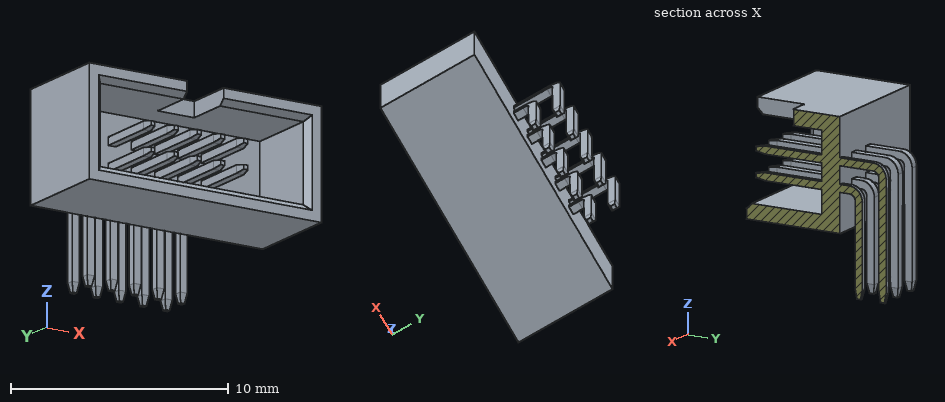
import cadquery as cq

shroud_length = 12.7
shroud_depth = 5.0
shroud_height = 5.6
wall = 0.8
cavity_depth = 4.0

flare_inset = 0.29
flare_depth = 0.3

notch_width = 2.0
notch_depth = shroud_depth / 2

rows = 2
columns = 5
pitch = 1.27
pin_width = 0.41
tip_width = 0.22
tip_length = 0.5
bend_inner_radius = 0.29
pin_recess = 0.51
upper_leg_offset = 2.26
leg_reach = 3.0

middle_z = shroud_height / 2
upper_row_z = middle_z + (rows - 1) / 2 * pitch
upper_leg_y = shroud_depth + upper_leg_offset
contact_start_y = pin_recess + tip_length
leg_end_z = tip_length - leg_reach
bend_outer_radius = bend_inner_radius + pin_width


def rect_taper(base, direction, start_size, end_size, length):
    """Solid blending one centred rectangle into another along a direction."""
    plane = cq.Plane(origin=base, xDir=(1, 0, 0), normal=direction)
    return (
        cq.Workplane(plane)
        .rect(*start_size)
        .workplane(offset=length)
        .rect(*end_size)
        .loft(combine=True)
    )


def make_shroud():
    """Box open towards -Y, with a flared mouth and a notch in its top wall."""
    cavity_length = shroud_length - 2 * wall
    cavity_height = shroud_height - 2 * wall

    shroud = cq.Workplane("XY").box(
        shroud_length, shroud_depth, shroud_height, centered=(True, False, False)
    )
    cavity = cq.Workplane("XY", origin=(0, 0, middle_z)).box(
        cavity_length, cavity_depth, cavity_height, centered=(True, False, True)
    )
    flare = rect_taper(
        base=(0, 0, middle_z),
        direction=(0, 1, 0),
        start_size=(cavity_length + 2 * flare_inset, cavity_height + 2 * flare_inset),
        end_size=(cavity_length, cavity_height),
        length=flare_depth,
    )
    notch = cq.Workplane("XY", origin=(0, 0, shroud_height - wall)).box(
        notch_width, notch_depth, wall, centered=(True, False, False)
    )
    return shroud.cut(cavity).cut(flare).cut(notch)


def make_tip(base, direction):
    """Tapered square pin end growing from a base point."""
    return rect_taper(base, direction, (pin_width, pin_width), (tip_width, tip_width), tip_length)


def make_pin(x, z, leg_y):
    """Bent pin: contact along Y at height z, solder leg downwards at leg_y."""
    half = pin_width / 2
    top = z + half
    underside = z - half
    leg_back = leg_y + half
    leg_front = leg_y - half

    bar = (
        cq.Workplane("YZ", origin=(x - half, 0, 0))
        .moveTo(contact_start_y, top)
        .lineTo(leg_back - bend_outer_radius, top)
        .radiusArc((leg_back, top - bend_outer_radius), bend_outer_radius)
        .lineTo(leg_back, leg_end_z)
        .lineTo(leg_front, leg_end_z)
        .lineTo(leg_front, underside - bend_inner_radius)
        .radiusArc((leg_front - bend_inner_radius, underside), -bend_inner_radius)
        .lineTo(contact_start_y, underside)
        .close()
        .extrude(pin_width)
    )
    contact_tip = make_tip((x, contact_start_y, z), (0, -1, 0))
    leg_tip = make_tip((x, leg_y, leg_end_z), (0, 0, -1))
    return bar.union(contact_tip).union(leg_tip)


result = make_shroud()

for row in range(rows):
    for column in range(columns):
        pin_x = (column - (columns - 1) / 2) * pitch
        pin = make_pin(pin_x, upper_row_z - row * pitch, upper_leg_y - row * pitch)
        result = result.union(pin)